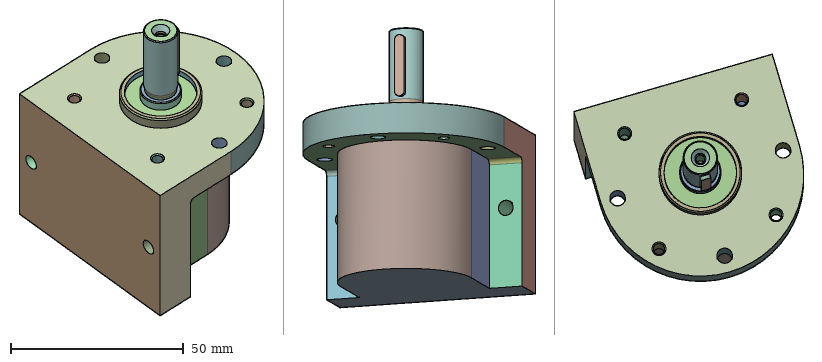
import cadquery as cq
import math

plate_radius = 30.0
front_face_y = -28.05
housing_height = 47.0
plate_thickness = 9.0
plate_underside_z = housing_height - plate_thickness
slab_thickness = 12.05
slab_back_y = front_face_y + slab_thickness
barrel_radius = 19.95
inner_corner_radius = 1.5

boss_diameter = 23.95
boss_height = 3.4
boss_top_z = housing_height + boss_height
boss_chamfer = 0.45
recess_diameter = 21.0
recess_depth = 1.8
recess_floor_z = boss_top_z - recess_depth

bolt_circle_radius = 25.0
through_hole_diameter = 4.5
front_hole_z = housing_height / 2
threaded_hole_diameter = 3.3
threaded_hole_mouth = 4.0
threaded_hole_depth = 11.9
threaded_offset = bolt_circle_radius * math.sin(math.radians(45))
drill_half_angle = 59

shaft_top_z = 74.4
shaft_diameter = 10.0
shaft_chamfer = 0.3
shaft_shoulder_z = 53.35
neck_diameter = 9.4
neck_top_z = 52.2
collar_diameter = 12.0
collar_top_z = 51.5
collar_chamfer = 0.3

centre_mouth_diameter = 5.3
centre_pilot_diameter = 3.2
centre_pilot_depth = 2.6
centre_bore_diameter = 2.45
centre_bore_depth = 11.9
centre_half_angle = 30

key_width = 3.0
key_length = 18.15
key_top_z = 72.2
key_outer_y = 6.1
key_depth = 3.0


def cone_depth(large_diameter, small_diameter, half_angle):
    """Axial length of a cone between two diameters."""
    return (large_diameter - small_diameter) / 2 / math.tan(math.radians(half_angle))


def revolve_about_z(profile_points):
    """Turn a closed (radius, z) outline about the Z axis."""
    return cq.Workplane("XZ").polyline(profile_points).close().revolve(360, (0, 0), (0, 1))


def round_backed_block(radius, front_y, bottom_z, top_z):
    """Block with a half-round back centred on the Z axis and a flat front."""
    return (
        cq.Workplane("XY", origin=(0, 0, bottom_z))
        .moveTo(-radius, front_y)
        .lineTo(radius, front_y)
        .lineTo(radius, 0)
        .threePointArc((0, radius), (-radius, 0))
        .close()
        .extrude(top_z - bottom_z)
    )


def make_plate_and_slab():
    """Mounting plate and full-width front slab, filleted where they meet."""
    plate = round_backed_block(plate_radius, front_face_y, plate_underside_z, housing_height)
    slab = cq.Workplane("XY").box(
        2 * plate_radius, slab_thickness, housing_height, centered=(True, False, False)
    ).translate((0, front_face_y, 0))
    inner_corner = cq.selectors.NearestToPointSelector((0, slab_back_y, plate_underside_z))
    return plate.union(slab).edges(inner_corner).fillet(inner_corner_radius)


def make_boss():
    """Chamfered pilot boss standing on the plate."""
    return (
        cq.Workplane("XY", origin=(0, 0, plate_underside_z))
        .circle(boss_diameter / 2)
        .extrude(boss_top_z - plate_underside_z)
        .faces(">Z")
        .edges()
        .chamfer(boss_chamfer)
    )


def make_recess():
    """Cutter for the recess in the boss."""
    return (
        cq.Workplane("XY", origin=(0, 0, recess_floor_z))
        .circle(recess_diameter / 2)
        .extrude(recess_depth)
    )


def make_plate_holes():
    """Cutters for the three plain holes down through the plate."""
    return (
        cq.Workplane("XY", origin=(0, 0, plate_underside_z))
        .pushPoints([(-bolt_circle_radius, 0), (0, bolt_circle_radius), (bolt_circle_radius, 0)])
        .circle(through_hole_diameter / 2)
        .extrude(plate_thickness)
    )


def make_slab_holes():
    """Cutters for the two plain holes through the front slab."""
    return (
        cq.Workplane("XZ", origin=(0, slab_back_y, front_hole_z))
        .pushPoints([(-bolt_circle_radius, 0), (bolt_circle_radius, 0)])
        .circle(through_hole_diameter / 2)
        .extrude(slab_thickness)
    )


def make_threaded_hole(x, y):
    """Cutter for a countersunk drilled hole entering from the plate top."""
    bore_radius = threaded_hole_diameter / 2
    mouth_radius = threaded_hole_mouth / 2
    countersink = mouth_radius - bore_radius
    bore_end_z = housing_height - threaded_hole_depth
    tip_z = bore_end_z - cone_depth(threaded_hole_diameter, 0, drill_half_angle)
    return revolve_about_z([
        (0, housing_height),
        (mouth_radius, housing_height),
        (bore_radius, housing_height - countersink),
        (bore_radius, bore_end_z),
        (0, tip_z),
    ]).translate((x, y, 0))


def make_housing():
    barrel = round_backed_block(barrel_radius, slab_back_y, 0, plate_underside_z)
    housing = make_plate_and_slab().union(barrel).union(make_boss())
    housing = housing.cut(make_recess()).cut(make_plate_holes()).cut(make_slab_holes())
    for x in (-threaded_offset, threaded_offset):
        for y in (-threaded_offset, threaded_offset):
            housing = housing.cut(make_threaded_hole(x, y))
    return housing


def make_centre_hole():
    """Cutter for the stepped centre hole in the shaft end."""
    countersink_depth = cone_depth(centre_mouth_diameter, centre_pilot_diameter, centre_half_angle)
    bore_end_z = shaft_top_z - centre_bore_depth
    tip_z = bore_end_z - cone_depth(centre_bore_diameter, 0, drill_half_angle)
    return revolve_about_z([
        (0, shaft_top_z),
        (centre_mouth_diameter / 2, shaft_top_z),
        (centre_pilot_diameter / 2, shaft_top_z - countersink_depth),
        (centre_pilot_diameter / 2, shaft_top_z - centre_pilot_depth),
        (centre_bore_diameter / 2, shaft_top_z - centre_pilot_depth),
        (centre_bore_diameter / 2, bore_end_z),
        (0, tip_z),
    ])


def make_key():
    """Round-ended key on the +Y side of the shaft."""
    return (
        cq.Workplane("XZ", origin=(0, key_outer_y, key_top_z - key_length / 2))
        .slot2D(key_length, key_width, 90)
        .extrude(key_depth)
    )


def make_shaft():
    """Output shaft with collar, neck, key and centre hole, standing on the recess floor."""
    shaft_radius = shaft_diameter / 2
    neck_radius = neck_diameter / 2
    collar_radius = collar_diameter / 2
    body = revolve_about_z([
        (0, recess_floor_z),
        (collar_radius, recess_floor_z),
        (collar_radius, collar_top_z - collar_chamfer),
        (collar_radius - collar_chamfer, collar_top_z),
        (neck_radius, collar_top_z),
        (neck_radius, neck_top_z),
        (shaft_radius, shaft_shoulder_z),
        (shaft_radius, shaft_top_z - shaft_chamfer),
        (shaft_radius - shaft_chamfer, shaft_top_z),
        (0, shaft_top_z),
    ])
    return body.cut(make_centre_hole()).union(make_key())


housing = make_housing()
shaft = make_shaft()
result = cq.Compound.makeCompound([housing.solids().val(), shaft.solids().val()])